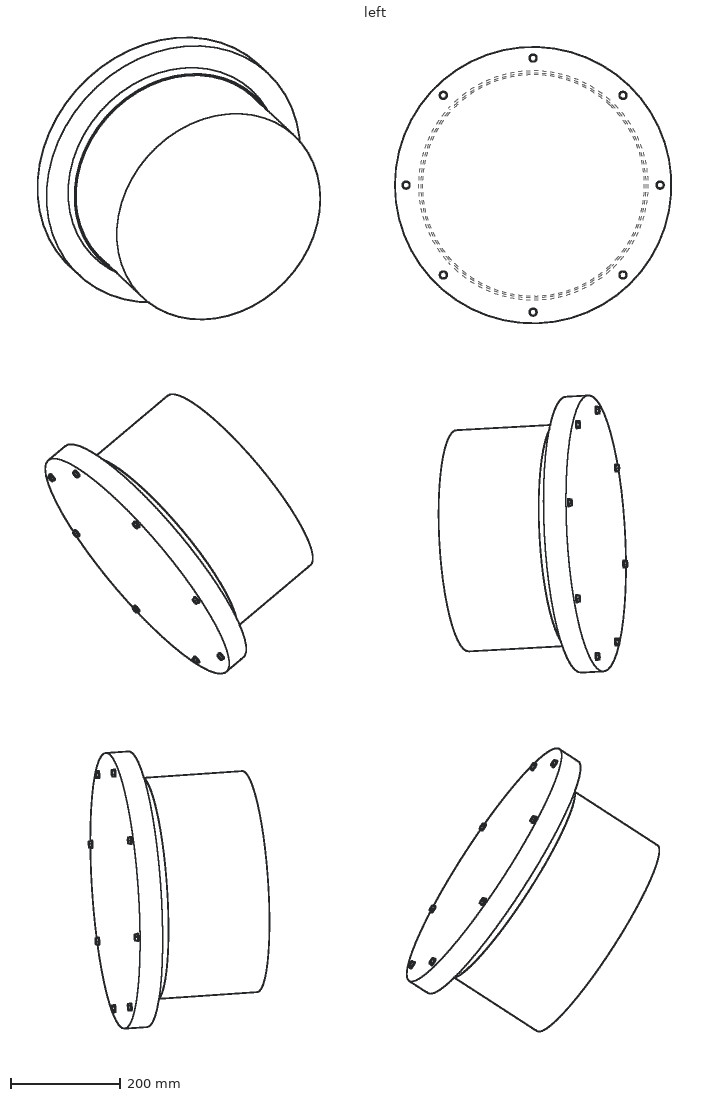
import cadquery as cq
import math

total_length = 256.0

flange_diameter = 506.0
flange_thickness = 42.0

cone_start_diameter = 420.0
collar_diameter = 412.0
cone_length = 16.5
collar_length = 3.0

drum_diameter = 406.0

bolt_count = 8
bolt_circle_diameter = 464.5
bolt_height = 6.0
bolt_flange_diameter = 14.0
bolt_flange_thickness = 2.0
hex_across_flats = 11.0

flange_front = bolt_height
flange_back = flange_front + flange_thickness
cone_end = flange_back + cone_length
collar_end = cone_end + collar_length

hex_sides = 6
hex_across_corners = hex_across_flats / math.cos(math.pi / hex_sides)


def make_body():
    """Flange, conical neck, collar and drum as one revolved profile."""
    profile = [
        (flange_front, 0),
        (flange_front, flange_diameter / 2),
        (flange_back, flange_diameter / 2),
        (flange_back, cone_start_diameter / 2),
        (cone_end, collar_diameter / 2),
        (collar_end, collar_diameter / 2),
        (collar_end, drum_diameter / 2),
        (total_length, drum_diameter / 2),
        (total_length, 0),
    ]
    return cq.Workplane("XY").polyline(profile).close().revolve(360, (0, 0, 0), (1, 0, 0))


def make_bolt():
    """Bolt head at the top of the bolt circle, with two hexagon flats facing up and down."""
    bolt_radius = bolt_circle_diameter / 2
    flange = (
        cq.Workplane("YZ", origin=(flange_front, 0, bolt_radius))
        .circle(bolt_flange_diameter / 2)
        .extrude(-bolt_flange_thickness)
    )
    head = (
        cq.Workplane("YZ", origin=(flange_front, 0, bolt_radius))
        .polygon(hex_sides, hex_across_corners)
        .extrude(-bolt_height)
    )
    return flange.union(head)


result = make_body()
bolt = make_bolt()
for index in range(bolt_count):
    angle = index * 360 / bolt_count
    result = result.union(bolt.rotate((0, 0, 0), (1, 0, 0), angle))